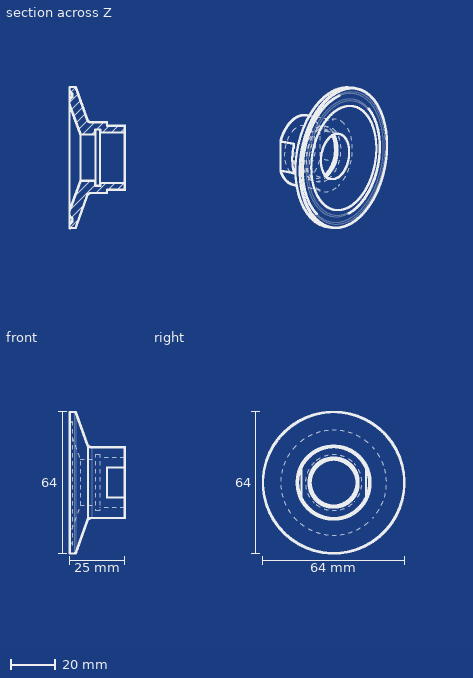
import cadquery as cq
import math

length = 25.0
flange_radius = 32.0
face_chamfer = 0.25
rim_width = 2.3
rim_round_length = 0.65
rim_round_drop = 0.4

hub_diameter = 32.05
hub_radius = hub_diameter / 2
cone_end_x = 8.25
cone_end_radius = 16.7
hub_start_x = 10.05
blend_mid_x = 9.0
blend_mid_radius = 16.2

mouth_radius = 23.8
mouth_depth = 5.0
bore_radius = 10.4
bore_end_x = 11.65
relief_radius = 12.7
relief_width = 2.2
socket_radius = 11.3

groove_outer_radius = 30.3
groove_inner_radius = 26.2
groove_lip = 0.8
groove_wall_angle = 65.0

flat_span = 29.05
flat_length = 8.0


def make_body():
    """Revolve the outer profile into the flange and hub."""
    profile = (
        cq.Workplane("XY")
        .lineTo(0, flange_radius - face_chamfer)
        .lineTo(face_chamfer, flange_radius)
        .lineTo(rim_width, flange_radius)
        .tangentArcPoint((rim_width + rim_round_length, flange_radius - rim_round_drop), relative=False)
        .lineTo(cone_end_x, cone_end_radius)
        .threePointArc((blend_mid_x, blend_mid_radius), (hub_start_x, hub_radius))
        .lineTo(length, hub_radius)
        .lineTo(length, 0)
        .close()
    )
    return profile.revolve(360, (0, 0, 0), (1, 0, 0))


def make_bore():
    """Revolve the mouth, bore, relief groove and socket as one cutter."""
    relief_end_x = bore_end_x + relief_width
    profile = (
        cq.Workplane("XY")
        .lineTo(0, mouth_radius)
        .lineTo(mouth_depth, bore_radius)
        .lineTo(bore_end_x, bore_radius)
        .lineTo(bore_end_x, relief_radius)
        .lineTo(relief_end_x, relief_radius)
        .lineTo(relief_end_x, socket_radius)
        .lineTo(length, socket_radius)
        .lineTo(length, 0)
        .close()
    )
    return profile.revolve(360, (0, 0, 0), (1, 0, 0))


def make_gasket_groove():
    """Revolve a rounded groove whose edges blend into the flange face."""
    wall_angle = math.radians(groove_wall_angle)
    middle_radius = (groove_outer_radius + groove_inner_radius) / 2
    groove_depth = (middle_radius - groove_inner_radius) * math.tan(wall_angle / 2)
    lip_depth = groove_lip * math.tan(wall_angle / 2)
    lip_curve = groove_lip / math.sin(wall_angle)
    lip_mid_depth = lip_curve * (1 - math.cos(wall_angle / 2))
    lip_mid_offset = lip_curve * math.sin(wall_angle / 2)
    profile = (
        cq.Workplane("XY")
        .moveTo(0, groove_inner_radius)
        .threePointArc(
            (lip_mid_depth, groove_inner_radius + lip_mid_offset),
            (lip_depth, groove_inner_radius + groove_lip),
        )
        .threePointArc((groove_depth, middle_radius), (lip_depth, groove_outer_radius - groove_lip))
        .threePointArc(
            (lip_mid_depth, groove_outer_radius - lip_mid_offset),
            (0, groove_outer_radius),
        )
        .close()
    )
    return profile.revolve(360, (0, 0, 0), (1, 0, 0))


def make_flat_cutters():
    """Blocks outside the two wrench flats on the +Y and -Y sides."""
    flat_block = (
        cq.Workplane("XY")
        .box(flat_length, 2 * hub_radius, 2 * hub_radius)
        .translate((length - flat_length / 2, flat_span / 2 + hub_radius, 0))
    )
    return flat_block.union(flat_block.mirror("XZ"))


result = make_body().cut(make_bore()).cut(make_gasket_groove()).cut(make_flat_cutters())